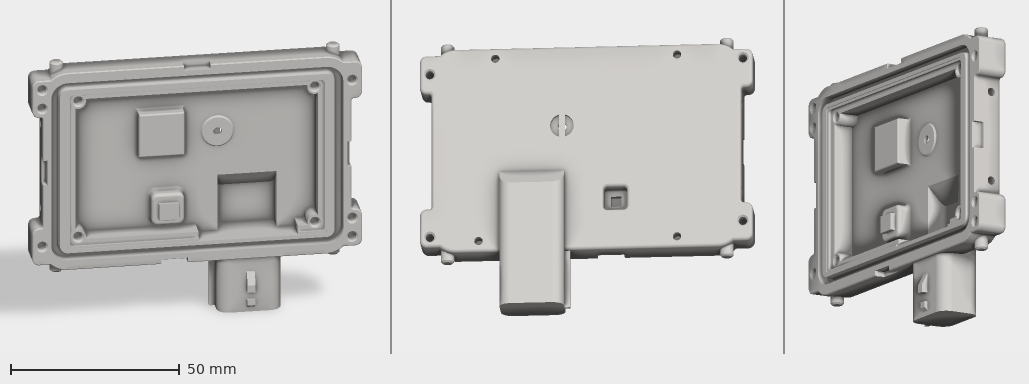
import cadquery as cq
import math

TILT = 50.0

THICK = 9.3
BODY_W = 92.6
BODY_H = 63.4
BODY_DRAFT = 2.0
BODY_R = 7.5
LUG_SPAN = 98.88
LUG_OUTER_Z = 29.65
LUG_INNER_Z = 17.8
LUG_R = 2.0
LUG_ROOT_R = 0.8
BACK_EDGE_R = 1.0
FRONT_EDGE = 0.3

GROOVE_OUTER = (87.6, 57.0)
GROOVE_INNER = (82.4, 52.5)
GROOVE_OUTER_R = 5.0
GROOVE_INNER_R = 2.5
GROOVE_DEPTH = 3.0
GROOVE_INNER_DRAFT = 9.0
RIM_SIZE = (77.8, 50.2)
RIM_DEPTH = 0.3
LEDGE_SIZE = (76.3, 48.6)
LEDGE_DEPTH = 1.25
CAVITY_SIZE = (72.8, 45.1)
FLOOR = 7.4
OPENING_R = 1.0

HOLE_D = 2.5
HOLE_CHAMFER = 0.5
LUG_HOLE_X = 46.5
LUG_HOLE_FAR_Z = 26.65
LUG_HOLE_NEAR_Z = 23.7
LUG_BLIND_Z = 20.7
LUG_BLIND_DEPTH = 6.0
BOSS_X = 35.5
BOSS_Z = 21.8
BOSS_R = 2.3
BOSS_HOLE_DEPTH = 5.0
BACK_HOLE_X = 27.0
BACK_HOLE_SHIFTED_X = 32.0
BACK_HOLE_Z = 28.15
BACK_HOLE_DEPTH = 4.0
SIDE_HOLE_Y = 6.0
SIDE_HOLE_Z = 13.5
SIDE_HOLE_DEPTH = 4.0

PIN_D = 4.0
PIN_X = 41.5
PIN_Y = 5.3
PIN_TIP_Z = 33.7
PIN_ROOT_Z = 28.0
PIN_CHAMFER = 0.5

NOTCH_LENGTH = 8.0
NOTCH_Y = 3.2
SIDE_NOTCH_CUT = 1.3
END_NOTCH_CUT = 1.6
LOWER_NOTCH_X = -6.8

CONN_X = (6.45, 25.65)
CONN_Y = (1.25, 14.45)
CONN_R = 3.5
CONN_BOTTOM_Z = -49.2
CONN_TOP_Z = -6.7
CHANNEL_X = (7.3, 25.0)
CHANNEL_Y_END = 13.0
CHANNEL_TOP_Z = -7.2
CHANNEL_R = 1.5
CHANNEL_BOTTOM_Z = -RIM_SIZE[1] / 2
GAP_X = (0.6, 30.3)
FLANGE_X = 4.8
FLANGE_Y = (7.65, 8.85)
TAB_X = (15.0, 17.4)
LATCH_TIP_Y = -0.75
LATCH_Z = (-36.2, -40.0, -42.3, -42.3)
STOP_TIP_Y = 0.15
STOP_Z = (-45.0, -45.0, -46.8, -47.7)

SELECT_MARGIN = 0.1

BLOCK_X = (-16.9, -3.3)
BLOCK_Z = (1.6, 15.3)
BLOCK_TOP = 3.3
BLOCK_EDGE_R = 0.5
BLOCK_ROOT_R = 0.73
CUP_X = (-13.1, -3.3)
CUP_Z = (-20.7, -10.7)
CUP_TOP = 3.45
CUP_CORNER_R = 1.8
CUP_EDGE_R = 1.0
CUP_ROOT_R = 1.0
KEY_X = (-11.1, -5.2)
KEY_Z = (-18.4, -13.3)
KEY_TOP = 1.95
KEY_SLOT_X = (-10.1, -7.0)
KEY_SLOT_Z = (-17.1, -14.0)
KEY_SLOT_END = 2.95
POCKET_X = (-12.1, -5.1)
POCKET_Z = (-19.2, -12.1)
POCKET_R = 1.1
POCKET_FLOOR = 4.55
POCKET_FLOOR_R = 0.45
POCKET_MOUTH_R = 1.0

VENT_X = 7.2
VENT_Z = 7.0
VENT_PAD_D = 10.0
VENT_PAD_H = 0.5
VENT_PAD_TAPER = 45.0
VENT_RECESS_D = 7.0
VENT_RECESS_DEPTH = 1.2
VENT_BAR_W = 1.7


def box(x, y, z):
    """Box spanning three (low, high) ranges."""
    size = [r[1] - r[0] for r in (x, y, z)]
    return cq.Workplane().box(*size, centered=False).translate((x[0], y[0], z[0]))


def plate(width, height, radius, y, center=(0, 0)):
    """Rectangle with rounded corners, extruded over the depth range y."""
    blank = box(
        (center[0] - width / 2, center[0] + width / 2),
        y,
        (center[1] - height / 2, center[1] + height / 2),
    )
    return blank.edges("|Y").fillet(radius)


def rounded_outline(width, height, radius, y):
    """Sketch of a rectangle with rounded corners on the plane y."""
    outline = cq.Sketch().rect(width, height).vertices().fillet(radius)
    return cq.Workplane("XZ", origin=(0, y, 0)).placeSketch(outline)


def span_plate(x, z, radius, y):
    """Rounded plate given by its ranges in X and Z."""
    center = ((x[0] + x[1]) / 2, (z[0] + z[1]) / 2)
    return plate(x[1] - x[0], z[1] - z[0], radius, y, center)


def disc(x, z, diameter, y):
    """Cylinder along the depth."""
    plane = cq.Workplane("XZ", origin=(x, y[0], z))
    return plane.circle(diameter / 2).extrude(y[0] - y[1])


def chamfered_hole(x, z, y, depth):
    """Cutter for a screw hole with a chamfered mouth on the plane y; negative depth runs forward."""
    heading = cq.Vector(0, math.copysign(1, depth), 0)
    mouth = cq.Vector(x, y, z)
    bore = cq.Solid.makeCylinder(HOLE_D / 2, abs(depth), mouth, heading)
    wide = HOLE_D / 2 + HOLE_CHAMFER
    taper = cq.Solid.makeCone(wide, HOLE_D / 2, HOLE_CHAMFER, mouth, heading)
    return cq.Workplane(bore).union(cq.Workplane(taper))


def housing():
    body = rounded_outline(BODY_W, BODY_H, BODY_R, 0).extrude(-THICK, taper=BODY_DRAFT)
    for side in (-1, 1):
        center_z = side * (LUG_OUTER_Z + LUG_INNER_Z) / 2
        lugs = plate(LUG_SPAN, LUG_OUTER_Z - LUG_INNER_Z, LUG_R, (0, THICK), (0, center_z))
        body = body.union(lugs)
    root_x = BODY_W / 2 - THICK / 2 * math.tan(math.radians(BODY_DRAFT))
    for side_x in (-1, 1):
        for side_z in (-1, 1):
            root = (side_x * root_x, THICK / 2, side_z * LUG_INNER_Z)
            body = body.edges(cq.selectors.NearestToPointSelector(root)).fillet(LUG_ROOT_R)
    body = body.faces(">Y").edges().fillet(BACK_EDGE_R)
    return body.faces("<Y").edges().chamfer(FRONT_EDGE)


def pins():
    height = PIN_TIP_Z - PIN_ROOT_Z
    pin = cq.Workplane("XY").circle(PIN_D / 2).extrude(height).faces(">Z").chamfer(PIN_CHAMFER)
    pin = pin.translate((PIN_X, PIN_Y, PIN_ROOT_Z))
    right = pin.union(pin.mirror("XY"))
    return right.union(right.mirror("YZ"))


def groove():
    """Ring-shaped groove whose inner wall leans outward toward the bottom."""
    ring = plate(*GROOVE_OUTER, GROOVE_OUTER_R, (0, GROOVE_DEPTH))
    island = rounded_outline(*GROOVE_INNER, GROOVE_INNER_R, 0)
    return ring.cut(island.extrude(-GROOVE_DEPTH, taper=-GROOVE_INNER_DRAFT))


def cavity():
    hollow = plate(*RIM_SIZE, OPENING_R, (0, RIM_DEPTH))
    hollow = hollow.union(plate(*LEDGE_SIZE, OPENING_R, (0, LEDGE_DEPTH)))
    hollow = hollow.union(plate(*CAVITY_SIZE, OPENING_R, (0, FLOOR)))
    hollow = hollow.union(box(GAP_X, (RIM_DEPTH, FLOOR), (CHANNEL_BOTTOM_Z, 0)))
    for x in (-BOSS_X, BOSS_X):
        for z in (-BOSS_Z, BOSS_Z):
            hollow = hollow.cut(disc(x, z, 2 * BOSS_R, (LEDGE_DEPTH, FLOOR)))
    return hollow


def sloped_tube(x, y, radius, top_z, bottom_z):
    """Upright bar with rounded back edges; its top falls away at 45 degrees toward the back."""
    bar = box(x, y, (bottom_z, top_z)).edges("|Z and >Y").fillet(radius)
    slope_end = top_z - (y[1] - y[0])
    outline = [(y[0], top_z), (y[1], top_z), (y[1], slope_end)]
    wedge = cq.Workplane("YZ", origin=(x[0], 0, 0)).polyline(outline).close().extrude(x[1] - x[0])
    return bar.cut(wedge)


def connector():
    overlap_z = -BODY_H / 2 + BACK_EDGE_R
    lower = box(CONN_X, CONN_Y, (CONN_BOTTOM_Z, overlap_z)).edges("|Z").fillet(CONN_R)
    upper = sloped_tube(CONN_X, (THICK, CONN_Y[1]), CONN_R, CONN_TOP_Z, CONN_BOTTOM_Z)
    flange = box((FLANGE_X, CONN_X[0] + CONN_R), FLANGE_Y, (CONN_BOTTOM_Z, -BODY_H / 2))
    return lower.union(upper).union(flange)


def tab(tip_y, outline_z):
    """Wedge on the connector front that reaches forward to tip_y."""
    base_y = CONN_Y[0]
    points = [(base_y, outline_z[0]), (tip_y, outline_z[1]), (tip_y, outline_z[2]), (base_y, outline_z[3])]
    side = cq.Workplane("YZ", origin=(TAB_X[0], 0, 0)).polyline(points).close()
    return side.extrude(TAB_X[1] - TAB_X[0])


def channel():
    depth = (FLOOR, CHANNEL_Y_END)
    return sloped_tube(CHANNEL_X, depth, CHANNEL_R, CHANNEL_TOP_Z, CHANNEL_BOTTOM_Z)


def floor_rim(x, z, y):
    """Selector for the edges on the plane y inside the given X and Z ranges."""
    low = (x[0] - SELECT_MARGIN, y - SELECT_MARGIN, z[0] - SELECT_MARGIN)
    high = (x[1] + SELECT_MARGIN, y + SELECT_MARGIN, z[1] + SELECT_MARGIN)
    return cq.selectors.BoxSelector(low, high, boundingbox=True)


def add_floor_block(body):
    block = box(BLOCK_X, (BLOCK_TOP, FLOOR), BLOCK_Z).faces("<Y").edges().fillet(BLOCK_EDGE_R)
    return body.union(block).edges(floor_rim(BLOCK_X, BLOCK_Z, FLOOR)).fillet(BLOCK_ROOT_R)


def add_cup(body):
    """Hollow raised cup on the floor with a small key on top, open toward the back."""
    cup = span_plate(CUP_X, CUP_Z, CUP_CORNER_R, (CUP_TOP, FLOOR)).faces("<Y").edges().fillet(CUP_EDGE_R)
    body = body.union(cup).edges(floor_rim(CUP_X, CUP_Z, FLOOR)).fillet(CUP_ROOT_R)
    body = body.union(box(KEY_X, (KEY_TOP, POCKET_FLOOR), KEY_Z))
    pocket = span_plate(POCKET_X, POCKET_Z, POCKET_R, (POCKET_FLOOR, THICK))
    pocket = pocket.faces("<Y").edges().fillet(POCKET_FLOOR_R)
    body = body.cut(pocket).edges(floor_rim(POCKET_X, POCKET_Z, THICK)).fillet(POCKET_MOUTH_R)
    return body.cut(box(KEY_SLOT_X, (KEY_SLOT_END, POCKET_FLOOR), KEY_SLOT_Z))


def add_vent(body):
    pad_plane = cq.Workplane("XZ", origin=(VENT_X, FLOOR, VENT_Z))
    pad = pad_plane.circle(VENT_PAD_D / 2).extrude(VENT_PAD_H, taper=VENT_PAD_TAPER)
    recess = disc(VENT_X, VENT_Z, VENT_RECESS_D, (THICK - VENT_RECESS_DEPTH, THICK))
    bar_x = (VENT_X - VENT_BAR_W / 2, VENT_X + VENT_BAR_W / 2)
    bar_z = (VENT_Z - VENT_RECESS_D / 2, VENT_Z + VENT_RECESS_D / 2)
    recess = recess.cut(box(bar_x, (0, THICK), bar_z))
    bore = disc(VENT_X, VENT_Z, HOLE_D, (FLOOR - VENT_PAD_H, THICK - VENT_RECESS_DEPTH))
    return body.union(pad).cut(recess).cut(bore)


def screw_holes():
    holes = cq.Workplane()
    for side in (-1, 1):
        x = side * LUG_HOLE_X
        for z in (-side * LUG_HOLE_FAR_Z, side * LUG_HOLE_NEAR_Z):
            holes = holes.add(chamfered_hole(x, z, 0, THICK))
            holes = holes.add(chamfered_hole(x, z, THICK, -THICK))
        holes = holes.add(chamfered_hole(x, -side * LUG_BLIND_Z, 0, LUG_BLIND_DEPTH))
        for z in (-BOSS_Z, BOSS_Z):
            holes = holes.add(chamfered_hole(side * BOSS_X, z, LEDGE_DEPTH, BOSS_HOLE_DEPTH))
    return holes.combine()


def plain_holes():
    """Blind holes in the back face and in both side walls."""
    holes = cq.Workplane()
    back = (THICK - BACK_HOLE_DEPTH, THICK)
    upper_x = (-BACK_HOLE_X, BACK_HOLE_X)
    lower_x = (-BACK_HOLE_X, BACK_HOLE_SHIFTED_X)
    for z, columns in ((BACK_HOLE_Z, upper_x), (-BACK_HOLE_Z, lower_x)):
        for x in columns:
            holes = holes.add(disc(x, z, HOLE_D, back))
    for side in (-1, 1):
        for z in (-SIDE_HOLE_Z, SIDE_HOLE_Z):
            start = cq.Vector(side * BODY_W / 2, SIDE_HOLE_Y, z)
            inward = cq.Vector(-side, 0, 0)
            holes = holes.add(cq.Solid.makeCylinder(HOLE_D / 2, SIDE_HOLE_DEPTH, start, inward))
    return holes.combine()


def pry_notches():
    half = NOTCH_LENGTH / 2
    depth = (0, NOTCH_Y)
    side_x = BODY_W / 2 - SIDE_NOTCH_CUT
    edge_z = BODY_H / 2 - END_NOTCH_CUT
    outside = BODY_W
    notches = box((-half, half), depth, (edge_z, outside))
    notches = notches.union(box((LOWER_NOTCH_X - half, LOWER_NOTCH_X + half), depth, (-outside, -edge_z)))
    notches = notches.union(box((side_x, outside), depth, (-half, half)))
    return notches.union(box((-outside, -side_x), depth, (-half, half)))


case = housing().union(pins()).cut(groove()).cut(cavity())
case = add_vent(add_cup(add_floor_block(case)))
case = case.cut(pry_notches()).cut(screw_holes()).cut(plain_holes())
case = case.union(connector()).cut(channel())
case = case.union(tab(LATCH_TIP_Y, LATCH_Z))
case = case.union(tab(STOP_TIP_Y, STOP_Z))
result = case.rotate((0, 0, 0), (0, 0, 1), TILT)